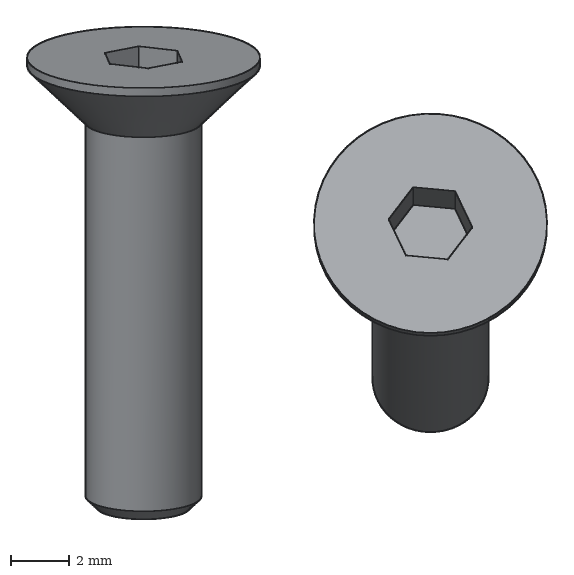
import cadquery as cq
import math

total_length = 16.0
shank_diameter = 4.0
head_diameter = 8.0
rim_height = 0.3
head_cone_angle = 90.0
tip_chamfer = 0.4
socket_sides = 6
socket_across_flats = 2.5
socket_depth = 1.8

shank_radius = shank_diameter / 2
head_radius = head_diameter / 2
tip_radius = shank_radius - tip_chamfer
cone_height = (head_radius - shank_radius) / math.tan(math.radians(head_cone_angle / 2))
rim_bottom = total_length - rim_height
cone_bottom = rim_bottom - cone_height
socket_across_corners = socket_across_flats / math.cos(math.pi / socket_sides)


def make_screw_body():
    """Revolve the half profile about Z, with the tip at Z = 0 and the head on top."""
    return (
        cq.Workplane("XZ")
        .moveTo(0, 0)
        .lineTo(tip_radius, 0)
        .lineTo(shank_radius, tip_chamfer)
        .lineTo(shank_radius, cone_bottom)
        .lineTo(head_radius, rim_bottom)
        .lineTo(head_radius, total_length)
        .lineTo(0, total_length)
        .close()
        .revolve(360, (0, 0), (0, 1))
    )


def make_hex_socket():
    """Hexagonal drive recess sunk from the head face, with two corners on the X axis."""
    return (
        cq.Workplane("XY")
        .workplane(offset=total_length - socket_depth)
        .polygon(socket_sides, socket_across_corners)
        .extrude(socket_depth)
    )


result = make_screw_body().cut(make_hex_socket())